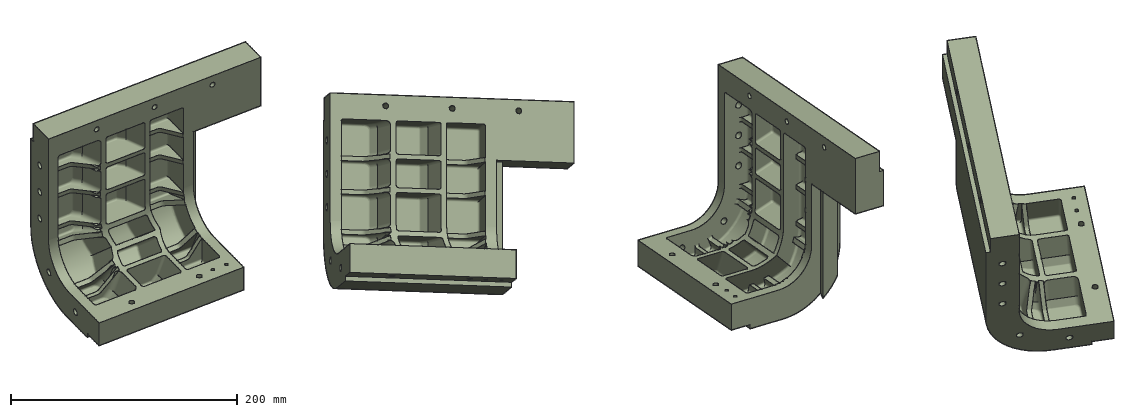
import cadquery as cq
import math

WIDTH_X = 115.0
HEIGHT_Z = 180.0
BODY_Y = 150.0
BAR_Y = 220.0
BAR_BOTTOM_Z = 125.0
LEG = 30.0
OUTER_R = 60.0
INNER_R = 35.0
BEND = LEG + INNER_R

STEP_DEPTH = 4.2
STEP_LENGTH = 20.0

RAIL_X = LEG / 2
RAIL_ROOT = 11.5
RAIL_TIP = 15.5
RAIL_DEPTH = 7.0

FLOOR = 5.0
FLANGE = 23.0
MARGIN_Y = 10.0
OPEN_TOP = 45.0
LEAN = math.tan(math.radians(22.5))
LONG_RIB = 5.0
LONG_RIB_FRONTS = (54.5, 100.0)
FLARE_Z = 11.0
FLOOR_FILLET = 2.0
CORNER_FILLET = 4.5
SMALL_CORNER_FILLET = 2.2

CROSS_RIB = 4.2
CROSS_RIB_X = 59.0
SLANTED_RIB = 4.8
SLANT_ANGLE = 22.5
MIDDLE_RIB = 4.75
FOOT_MIDDLE_RIB = 61.4
UPRIGHT_MIDDLE_RIB = 56.0
DIAGONAL_RIB = 5.0
UPRIGHT_RIB_Z = (95.0, 125.0)
LOW_RIB_Z = 12.0
GUSSET_FILLET = 5.5
FRONT_GUSSET = (34.0, 54.0)
REAR_GUSSET = (126.0, 139.5)

BOLT_D = 5.0
BOLT_X = WIDTH_X - 10.0
FOOT_BOLT_Y = (40.0, 110.0)
BAR_BOLT_Y = (50.0, 110.0, 170.0)
BAR_BOLT_Z = HEIGHT_Z - 10.0
PIN_D = 3.0
PIN_X = 103.5
PIN_Y = (125.0, 139.0)
SIDE_HOLE_D = 6.2
BEND_HOLE_D = 6.1
SIDE_HOLES = ((15.0, 80.0), (15.0, 110.0), (15.0, 140.0), (75.0, 15.0))
BEND_HOLE = (30.5, 29.5)
SIDE_HOLE_DEPTH = 15.0

DIAGONAL = cq.Vector(1, 0, -1)
TOLERANCE = 1e-3
STEEP = 0.5


def along_y(profile, y0, y1):
    """Extrude a closed XZ wire from y0 to y1."""
    return profile.extrude(-(y1 - y0)).translate((0, y0, 0))


def box(x0, x1, y0, y1, z0, z1):
    return cq.Workplane("XY").box(x1 - x0, y1 - y0, z1 - z0, centered=False).translate((x0, y0, z0))


def bracket_body():
    half_chord = math.sqrt(0.5)
    outer_mid = OUTER_R * (1 - half_chord)
    inner_mid = BEND - INNER_R * half_chord
    profile = (
        cq.Workplane("XZ")
        .moveTo(0, HEIGHT_Z)
        .lineTo(0, OUTER_R)
        .threePointArc((outer_mid, outer_mid), (OUTER_R, 0))
        .lineTo(WIDTH_X, 0)
        .lineTo(WIDTH_X, LEG)
        .lineTo(BEND, LEG)
        .threePointArc((inner_mid, inner_mid), (LEG, BEND))
        .lineTo(LEG, HEIGHT_Z)
        .close()
    )
    body = along_y(profile, 0, BODY_Y)
    bar = box(0, LEG, 0, BAR_Y, BAR_BOTTOM_Z, HEIGHT_Z)
    body = body.union(bar).union(dovetail_rail())
    bar_step = box(0, STEP_DEPTH, 0, BAR_Y, HEIGHT_Z - STEP_LENGTH, HEIGHT_Z)
    foot_step = box(WIDTH_X - STEP_LENGTH, WIDTH_X, 0, BODY_Y, 0, STEP_DEPTH)
    return body.cut(bar_step).cut(foot_step)


def dovetail_rail():
    """Rail that widens away from the rear face and ends on the outer bend surface."""
    tip_y = BODY_Y + RAIL_DEPTH
    rail = (
        cq.Workplane("XY")
        .polyline([
            (RAIL_X - RAIL_ROOT / 2, BODY_Y),
            (RAIL_X + RAIL_ROOT / 2, BODY_Y),
            (RAIL_X + RAIL_TIP / 2, tip_y),
            (RAIL_X - RAIL_TIP / 2, tip_y),
        ])
        .close()
        .extrude(BAR_BOTTOM_Z)
    )
    bend = along_y(cq.Workplane("XZ").center(OUTER_R, OUTER_R).circle(OUTER_R), BODY_Y, tip_y)
    above_bend = box(0, OUTER_R, BODY_Y, tip_y, OUTER_R, BAR_BOTTOM_Z)
    return rail.intersect(bend.union(above_bend))


def leg_core(leg_end):
    """Space between the pocket floor and the inside of the bend, on the foot side of x = z."""
    floor_r = OUTER_R - FLOOR
    corner = OUTER_R - floor_r * math.sqrt(0.5)
    mid_angle = math.radians(45.0 / 2)
    mid = (OUTER_R - floor_r * math.sin(mid_angle), OUTER_R - floor_r * math.cos(mid_angle))
    profile = (
        cq.Workplane("XZ")
        .moveTo(corner, corner)
        .threePointArc(mid, (OUTER_R, FLOOR))
        .lineTo(leg_end, FLOOR)
        .lineTo(leg_end, OPEN_TOP)
        .lineTo(OPEN_TOP, OPEN_TOP)
        .close()
    )
    return along_y(profile, 0, BODY_Y)


def lean_y(mouth_y, z):
    return mouth_y + LEAN * (z - LEG)


def row_slab(front_rib, rear_rib):
    """Space between two long ribs; None stands for the plain end wall."""
    if front_rib is None:
        front = [(MARGIN_Y, OPEN_TOP), (MARGIN_Y, 0)]
    else:
        face = front_rib + LONG_RIB
        front = [(lean_y(face, OPEN_TOP), OPEN_TOP), (lean_y(face, 0), 0)]
    if rear_rib is None:
        rear = [(BODY_Y - MARGIN_Y, 0), (BODY_Y - MARGIN_Y, OPEN_TOP)]
    else:
        knee = lean_y(rear_rib, FLARE_Z)
        rear = [(knee - FLARE_Z, 0), (knee, FLARE_Z), (lean_y(rear_rib, OPEN_TOP), OPEN_TOP)]
    return cq.Workplane("YZ").polyline(front + rear).close().extrude(HEIGHT_Z)


def upright_plate(x, thickness):
    return box(x - thickness / 2, x + thickness / 2, 0, BODY_Y, 0, OPEN_TOP)


def slant(shape):
    """Turn a shape about the inner bend axis to the lean of the slanted cross rib."""
    return shape.rotate((BEND, 0, BEND), (BEND, 1, BEND), SLANT_ANGLE)


def diagonal_plate():
    """Rib in the bend, with its upper side on x = z."""
    shift = DIAGONAL_RIB * math.sqrt(2)
    profile = cq.Workplane("XZ").polyline([(0, 0), (shift, 0), (BEND + shift, BEND), (BEND, BEND)]).close()
    return along_y(profile, 0, BODY_Y)


def gusset_space(foot_y, mouth_y, x, thickness):
    """Space over a low cross rib, from the front end wall to a sloping gusset at the rear."""
    slope = (mouth_y - foot_y) / (LEG - LOW_RIB_Z)
    end_y = foot_y + slope * (OPEN_TOP - LOW_RIB_Z)
    space = (
        cq.Workplane("YZ")
        .polyline([(MARGIN_Y, LOW_RIB_Z), (foot_y, LOW_RIB_Z), (end_y, OPEN_TOP), (MARGIN_Y, OPEN_TOP)])
        .close()
        .extrude(thickness)
        .translate((x - thickness / 2, 0, 0))
    )
    foot = cq.selectors.NearestToPointSelector((x, foot_y, LOW_RIB_Z))
    front = cq.selectors.NearestToPointSelector((x, MARGIN_Y, LOW_RIB_Z))
    space = space.edges("|X").edges(foot).fillet(GUSSET_FILLET)
    return space.edges("|X").edges(front).fillet(FLOOR_FILLET)


def on_floor(point):
    if point.x >= OUTER_R:
        return abs(point.z - FLOOR) < TOLERANCE
    radius = math.hypot(point.x - OUTER_R, point.z - OUTER_R)
    return abs(radius - OUTER_R + FLOOR) < TOLERANCE


def edge_points(edge):
    return [edge.positionAt(t) for t in (0, 0.5, 1)]


def on_diagonal(points):
    return all(abs(p.x - p.z) < TOLERANCE for p in points)


def is_floor_edge(edge):
    points = edge_points(edge)
    return all(on_floor(p) for p in points) and not on_diagonal(points)


def is_wall_corner(edge):
    """True for a straight edge that runs down from the mouth between two walls."""
    points = edge_points(edge)
    level = abs(points[0].z - points[2].z) < TOLERANCE
    touches_diagonal = any(abs(p.x - p.z) < TOLERANCE for p in points)
    if level or touches_diagonal or edge.geomType() != "LINE":
        return False
    return abs(edge.tangentAt(0.5).z) > STEEP and not is_floor_edge(edge)


def is_rear_corner(edge, rear_rib):
    """True for a wall corner on the front face or flare of a long rib."""
    knee = lean_y(rear_rib, FLARE_Z)
    for p in edge_points(edge):
        wall_y = lean_y(rear_rib, p.z) if p.z > FLARE_Z else knee - FLARE_Z + p.z
        if abs(p.y - wall_y) > TOLERANCE:
            return False
    return is_wall_corner(edge)


def rounded_cells(space, is_small_corner, rear_rib=None):
    """Round each cell's chosen corners, then its large corners on a given rear rib, then its floor."""
    cells = []
    for cell in space.solids().vals():
        corners = [e for e in cell.Edges() if is_wall_corner(e)]
        large = []
        if rear_rib is not None:
            large = [e for e in corners if is_rear_corner(e, rear_rib)]
        small = [e for e in corners if e not in large and is_small_corner(e)]
        if small:
            cell = cell.fillet(SMALL_CORNER_FILLET, small)
        if large:
            rear_corners = [e for e in cell.Edges() if is_rear_corner(e, rear_rib)]
            cell = cell.fillet(CORNER_FILLET, rear_corners)
        floor_edges = [e for e in cell.Edges() if is_floor_edge(e)]
        cells.append(cell.fillet(FLOOR_FILLET, floor_edges))
    return cells


def leg_pockets(leg_end, middle_ribs, far_ribs):
    """All pocket spaces of one leg, laid out as for the foot."""
    core = leg_core(leg_end)
    first, second = LONG_RIB_FRONTS
    far_plates = [upright_plate(x, CROSS_RIB) for x in far_ribs]
    spaces = []

    def at_leg_end(edge):
        return abs(edge.Center().x - leg_end) < TOLERANCE

    middle = core.intersect(row_slab(first, second))
    for plate in middle_ribs + far_plates:
        middle = middle.cut(plate)
    spaces += rounded_cells(middle, lambda edge: True)

    outer_rows = ((None, first, FRONT_GUSSET), (second, None, REAR_GUSSET))
    for front_rib, rear_rib, gusset in outer_rows:
        row = core.intersect(row_slab(front_rib, rear_rib))
        slanted_plate = slant(upright_plate(BEND, SLANTED_RIB))
        cells = row.cut(slanted_plate)
        for plate in [upright_plate(CROSS_RIB_X, CROSS_RIB)] + far_plates:
            cells = cells.cut(plate)
        spaces += rounded_cells(cells, at_leg_end, rear_rib)
        spaces.append(slant(gusset_space(*gusset, BEND, SLANTED_RIB)).intersect(row).val())
        for x in (CROSS_RIB_X,) + tuple(far_ribs):
            spaces.append(gusset_space(*gusset, x, CROSS_RIB).intersect(row).val())
    return spaces


def cut_pockets(body):
    foot_ribs = [diagonal_plate(), upright_plate(FOOT_MIDDLE_RIB, MIDDLE_RIB)]
    for space in leg_pockets(WIDTH_X - FLANGE, foot_ribs, ()):
        body = body.cut(cq.Workplane(space))
    upright_ribs = [upright_plate(UPRIGHT_MIDDLE_RIB, MIDDLE_RIB)]
    for space in leg_pockets(HEIGHT_Z - FLANGE, upright_ribs, UPRIGHT_RIB_Z):
        body = body.cut(cq.Workplane(space).mirror(DIAGONAL))
    return body


def drill_y(body, x, z, diameter):
    hole = cq.Workplane("XZ").center(x, z).circle(diameter / 2)
    return body.cut(along_y(hole, 0, SIDE_HOLE_DEPTH))


def cut_holes(body):
    for y in FOOT_BOLT_Y:
        body = body.cut(cq.Workplane("XY").center(BOLT_X, y).circle(BOLT_D / 2).extrude(LEG))
    for y in PIN_Y:
        body = body.cut(cq.Workplane("XY").center(PIN_X, y).circle(PIN_D / 2).extrude(LEG))
    for y in BAR_BOLT_Y:
        body = body.cut(cq.Workplane("YZ").center(y, BAR_BOLT_Z).circle(BOLT_D / 2).extrude(LEG))
    for x, z in SIDE_HOLES:
        body = drill_y(body, x, z, SIDE_HOLE_D)
    return drill_y(body, *BEND_HOLE, BEND_HOLE_D)


result = cut_pockets(cut_holes(bracket_body()))